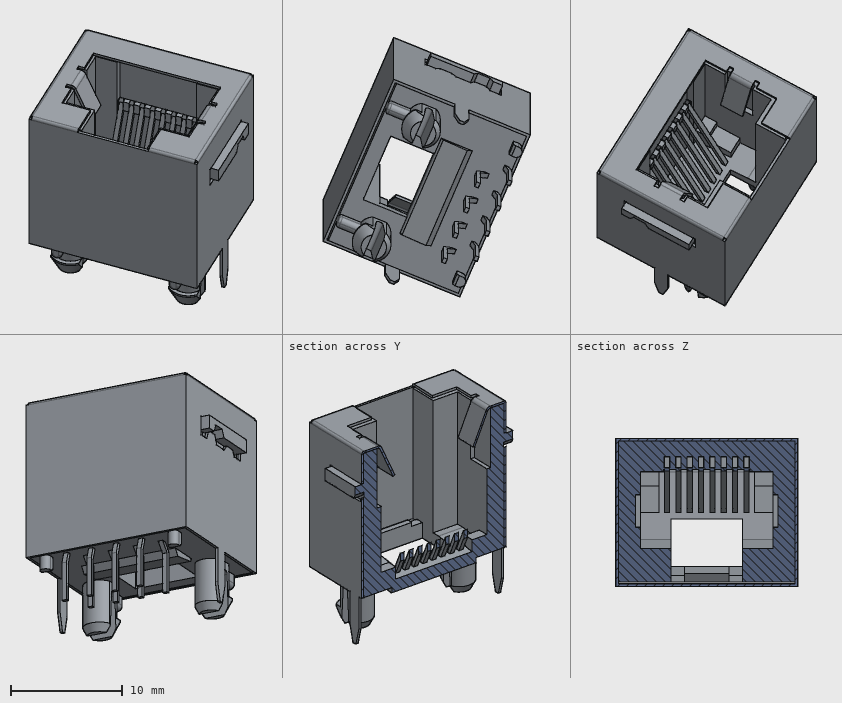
import cadquery as cq
import math


shield_width = 16.32
shield_depth = 13.3
shield_height = 14.9
sheet = 0.25
corner_notch = 0.24
opening_half_width = 6.17
opening_back = 3.72
opening_front = -3.66
latch_opening_half_width = 3.42

tab_half_width = 1.13
tab_bend_start = 6.33
tab_tip = 4.38
tab_angle = math.radians(65.4)
tab_bend_radius = 0.52
relief_half_width = 1.55
relief_end = 6.73

window_back = 3.82
window_front = -3.58
window_top = 11.6
window_bottom = 9.8
window_tooth_top = 10.67
front_tooth_base = (-2.55, -0.55)
front_tooth_tip = (-2.1, -1.0)

leg_half_width = 0.68
leg_shoulder = -3.22
leg_tip_half_width = 0.22
leg_tip = -5.0
leg_tip_round = 0.1

housing_width = shield_width - 2 * sheet
housing_height = shield_height - sheet
housing_back = shield_depth / 2 - sheet
housing_front = -6.25

cavity_half_width = 5.93
cavity_back = 3.65
cavity_front = -3.22
latch_half_width = 3.18
floor_height = 1.23
floor_slope_start = -2.43
floor_slope = math.radians(7.3)
hole_back = -0.6
hole_front = -4.84
rail_half_gap = 4.28
rail_step = 2.39
rail_heights = (1.99, 2.79)

catch_half_width = 1.99
catch_height = 1.99
catch_slope_start = -5.47
catch_slope = math.radians(36.5)
catch_side_step = -5.63
catch_side_heights = (1.6, 1.4)

pocket_half_width = 6.37
pocket_back = 1.57
pocket_front = -1.31
pocket_bottom = 8.65

contact_count = 8
contact_pitch = 1.019
contact_width = 0.45
contact_thickness = 0.35
contact_angle = math.radians(65.4)
contact_top_y = 4.02
comb_half_width = 3.86
comb_front = 3.85
comb_wall = 4.02
comb_back = 4.3
comb_slot_back = 4.98
comb_top = 9.99
comb_bottom = 8.95

tail_pitch = 1.27
tail_end = -4.64
front_row_y = 3.6
front_row_bend = -0.84
front_row_offset = 0.8
back_row_y = 6.15
back_row_bend = -1.07
back_row_offset = -0.34

wing_reach = 8.9
wing_back = 3.65
wing_front = -3.35
wing_bottom = 10.35
wing_notch_top = 11.06
notch_lower_y = (0.88, 2.75)
notch_upper_y = (1.23, 2.4)
side_recess_back = 3.1
side_recess_front = -2.79
side_recess_depth = 0.25

peg_x = 5.71
peg_y = -2.75
peg_radius = 1.53
peg_half_width = 1.37
barb_radius = 1.93
barb_top = -3.08
barb_edge = -3.26
peg_tip = -4.82
peg_tip_radius = 1.13
slot_half_width_top = 0.32
slot_half_width_tip = 0.55
slot_top = -0.78

standoff_height = 1.33
standoff_width = 1.01
standoff_round = 0.5
standoff_front_round = 0.24
back_standoff_x = 6.53
back_standoff_y = 5.97
back_standoff_front = 5.47
back_standoff_chamfer = 0.24

bar_half_length = 4.78
bar_back = 2.43
bar_keel = (1.93, -0.64)
bar_round_start = (-0.4, -0.34)
bar_round_middle = (-0.54, -0.2)


def box(x0, x1, y0, y1, z0, z1):
    """Axis-aligned block between two corners."""
    return cq.Workplane("XY").box(x1 - x0, y1 - y0, z1 - z0, centered=False).translate((x0, y0, z0))


def extrude_yz(points, x0, x1):
    """Prism along X with an outline given as (y, z) points."""
    return cq.Workplane("YZ").polyline(points).close().extrude(x1 - x0).translate((x0, 0, 0))


def mirrored(solid):
    """The solid together with its mirror image across the YZ plane."""
    return solid.union(solid.mirror("YZ"))



def shield_shell():
    """Five-sided sheet cover, rounded along its upper edges, notched at the upper corners and open below."""
    outer = cq.Workplane("XY").box(shield_width, shield_depth, shield_height, centered=(True, True, False))
    outer = outer.faces(">Z").edges().fillet(sheet)
    inner = cq.Workplane("XY").box(
        housing_width, shield_depth - 2 * sheet, housing_height, centered=(True, True, False)
    )
    notches = (
        cq.Workplane("XY", origin=(0, 0, shield_height))
        .rect(shield_width - corner_notch, shield_depth - corner_notch, forConstruction=True)
        .vertices()
        .rect(corner_notch, corner_notch)
        .extrude(-corner_notch)
    )
    return outer.cut(inner).cut(notches)


def shield_opening():
    """T-shaped plug opening, widened at the spring tabs; its stem also trims the front plate."""
    top = shield_height
    plug = box(-opening_half_width, opening_half_width, opening_front, opening_back, housing_height, top)
    latch = box(
        -latch_opening_half_width, latch_opening_half_width,
        -shield_depth / 2, opening_front, housing_height, top,
    )
    tab_window = box(
        -relief_end, relief_end, -relief_half_width, relief_half_width, housing_height, top
    )
    return plug.union(latch).union(tab_window)


def spring_tab():
    """Tab on the +X side: a bend at the rim of the opening, then a straight leaf."""
    inner_radius = tab_bend_radius - sheet
    center_z = shield_height - tab_bend_radius

    def on_bend(radius, angle):
        return (tab_bend_start - radius * math.sin(angle), center_z + radius * math.cos(angle))

    outer_end = on_bend(tab_bend_radius, tab_angle)
    inner_end = on_bend(inner_radius, tab_angle)
    leaf_run = outer_end[0] - tab_tip
    leaf_drop = leaf_run * math.tan(tab_angle)
    return (
        cq.Workplane("XZ")
        .moveTo(relief_end, shield_height)
        .lineTo(tab_bend_start, shield_height)
        .threePointArc(on_bend(tab_bend_radius, tab_angle / 2), outer_end)
        .lineTo(outer_end[0] - leaf_run, outer_end[1] - leaf_drop)
        .lineTo(inner_end[0] - leaf_run, inner_end[1] - leaf_drop)
        .lineTo(*inner_end)
        .threePointArc(on_bend(inner_radius, tab_angle / 2), (tab_bend_start, housing_height))
        .lineTo(relief_end, housing_height)
        .close()
        .extrude(tab_half_width, both=True)
    )


def side_windows():
    """Windows through both side plates, with two teeth rising from the lower edge."""
    outline = [
        (window_back, window_top),
        (window_back, window_bottom),
        (notch_lower_y[1], window_bottom),
        (notch_upper_y[1], window_tooth_top),
        (notch_upper_y[0], window_tooth_top),
        (notch_lower_y[0], window_bottom),
        (front_tooth_base[1], window_bottom),
        (front_tooth_tip[1], wing_bottom),
        (front_tooth_tip[0], wing_bottom),
        (front_tooth_base[0], window_bottom),
        (window_front, window_bottom),
        (window_front, window_top),
    ]
    return mirrored(extrude_yz(outline, housing_width / 2, shield_width / 2))


def solder_legs():
    """Pointed legs continuing both side plates downward."""
    outline = [
        (-leg_half_width, sheet),
        (-leg_half_width, leg_shoulder),
        (-leg_tip_half_width, leg_tip),
        (leg_tip_half_width, leg_tip),
        (leg_half_width, leg_shoulder),
        (leg_half_width, sheet),
    ]
    leg = extrude_yz(outline, housing_width / 2, shield_width / 2)
    return mirrored(leg.edges("|X and <Z").fillet(leg_tip_round))


def build_shield():
    shield = shield_shell().cut(shield_opening()).cut(side_windows())
    return shield.union(mirrored(spring_tab())).union(solder_legs())



def floor_at(y):
    """Height of the sloping cavity floor."""
    return floor_height - (y - floor_slope_start) * math.tan(floor_slope)


def plug_cavity():
    """Plug space, latch channel and the hole through the floor."""
    plug_profile = [
        (cavity_back, housing_height),
        (cavity_back, floor_at(cavity_back)),
        (floor_slope_start, floor_height),
        (cavity_front, floor_height),
        (cavity_front, housing_height),
    ]
    plug = extrude_yz(plug_profile, -cavity_half_width, cavity_half_width)
    channel = box(
        -latch_half_width, latch_half_width,
        housing_front, cavity_front, catch_side_heights[1], housing_height,
    )
    hole = box(-latch_half_width, latch_half_width, hole_front, hole_back, 0, housing_height)
    pocket = box(
        -pocket_half_width, pocket_half_width, pocket_front, pocket_back, pocket_bottom, housing_height
    )
    return plug.union(channel).union(hole).union(pocket)


def contact_xs():
    return [(i - (contact_count - 1) / 2) * contact_pitch for i in range(contact_count)]


def comb_recess():
    """Recess behind the contacts, with a projecting shelf slotted for each contact."""
    half = comb_half_width
    upper = box(-half, half, cavity_back, comb_back, comb_top, housing_height)
    shelf = box(-half, half, cavity_back, comb_front, comb_bottom, comb_top)
    lower = box(-half, half, cavity_back, comb_wall, floor_at(cavity_back), comb_bottom)
    recess = upper.union(shelf).union(lower)
    for x in contact_xs():
        slot = box(
            x - contact_width / 2, x + contact_width / 2, comb_front, comb_slot_back, comb_bottom, comb_top
        )
        recess = recess.union(slot)
    return recess


def guide_rails():
    """Stepped blocks in the back corners of the cavity floor."""
    low, high = rail_heights
    profile = [(0, 0), (cavity_back, 0), (cavity_back, high), (rail_step, high), (rail_step, low), (0, low)]
    return mirrored(extrude_yz(profile, rail_half_gap, cavity_half_width))


def latch_catch():
    """Ramped catch between two stepped shoulders, in front of the floor hole."""
    ramp_end = catch_height - (catch_slope_start - housing_front) * math.tan(catch_slope)
    ramp = [
        (hole_front, 0),
        (hole_front, catch_height),
        (catch_slope_start, catch_height),
        (housing_front, ramp_end),
        (housing_front, 0),
    ]
    shoulder = box(
        -latch_half_width, latch_half_width, catch_side_step, hole_front, 0, catch_side_heights[0]
    )
    return extrude_yz(ramp, -catch_half_width, catch_half_width).union(shoulder)


def contact_springs():
    """Straight leaves rising from the floor to the comb."""
    root_z = floor_at(0)
    top_z = root_z + contact_top_y * math.tan(contact_angle)
    drop = contact_thickness / math.cos(contact_angle)
    profile = [(0, root_z), (contact_top_y, top_z), (contact_top_y, top_z - drop), (0, root_z - drop)]
    springs = cq.Workplane("XY")
    for x in contact_xs():
        springs = springs.add(extrude_yz(profile, x - contact_width / 2, x + contact_width / 2))
    return springs.combine()


def solder_tail(x, row_y, bend_z, offset):
    """Straight tail with a slanted upper end that enters the housing."""
    half = contact_thickness / 2
    entry_z = contact_thickness
    entry_y = row_y + offset * (entry_z - bend_z) / -bend_z
    slant = math.atan2(entry_y - row_y, entry_z - bend_z)
    half_entry = half / math.cos(slant)
    miter = half * math.tan(slant / 2)
    profile = [
        (row_y - half, tail_end),
        (row_y - half, bend_z + miter),
        (entry_y - half_entry, entry_z),
        (entry_y + half_entry, entry_z),
        (row_y + half, bend_z - miter),
        (row_y + half, tail_end),
    ]
    return extrude_yz(profile, x - contact_width / 2, x + contact_width / 2)


def solder_tails():
    tails = cq.Workplane("XY")
    for i in range(contact_count):
        x = (i - (contact_count - 1) / 2) * tail_pitch
        if i % 2 == 0:
            tails = tails.add(solder_tail(x, front_row_y, front_row_bend, front_row_offset))
        else:
            tails = tails.add(solder_tail(x, back_row_y, back_row_bend, back_row_offset))
    return tails.combine()


def side_recesses():
    """Shallow recesses below both ends of each wing."""
    outer = housing_width / 2
    inner = outer - side_recess_depth
    back = box(inner, outer, side_recess_back, wing_back, window_bottom, wing_bottom)
    front = box(inner, outer, wing_front, side_recess_front, window_bottom, wing_bottom)
    return mirrored(back.union(front))


def side_wings():
    """Bars through the shield windows, notched underneath."""
    profile = [
        (wing_back, window_top),
        (wing_back, wing_bottom),
        (notch_lower_y[1], wing_bottom),
        (notch_upper_y[1], wing_notch_top),
        (notch_upper_y[0], wing_notch_top),
        (notch_lower_y[0], wing_bottom),
        (wing_front, wing_bottom),
        (wing_front, window_top),
    ]
    return mirrored(extrude_yz(profile, housing_width / 2 - side_recess_depth, wing_reach))


def snap_peg():
    """Round peg with flattened sides, a barb on its front half and a slot splitting it."""
    tip_taper = (barb_radius - peg_tip_radius) / (barb_edge - peg_tip)
    taper_start = peg_tip + (peg_radius - peg_tip_radius) / tip_taper
    shaft = (
        cq.Workplane("XZ")
        .polyline([(0, 0), (peg_radius, 0), (peg_radius, taper_start),
                   (peg_tip_radius, peg_tip), (0, peg_tip)])
        .close()
        .revolve(360, (0, 0), (0, 1))
    )
    barb = (
        cq.Workplane("XZ")
        .polyline([(0, barb_top), (barb_radius, barb_top), (barb_radius, barb_edge),
                   (peg_tip_radius, peg_tip), (0, peg_tip)])
        .close()
        .revolve(360, (0, 0), (0, 1))
    )
    front_half = box(-barb_radius, barb_radius, -barb_radius, 0, peg_tip, 0)
    peg = shaft.union(barb.intersect(front_half))
    peg = peg.intersect(
        box(-peg_half_width, peg_half_width, -barb_radius, barb_radius, peg_tip, 0)
    )
    arc_z = slot_top - slot_half_width_top
    slot = (
        cq.Workplane("YZ")
        .moveTo(-slot_half_width_tip, peg_tip)
        .lineTo(-slot_half_width_top, arc_z)
        .threePointArc((0, slot_top), (slot_half_width_top, arc_z))
        .lineTo(slot_half_width_tip, peg_tip)
        .close()
        .extrude(peg_half_width, both=True)
    )
    return peg.cut(slot).translate((peg_x, peg_y, 0))


def front_standoff():
    """Rib from the peg to the front of the housing, with a rounded lower side and front end."""
    rib_back = peg_y - peg_half_width
    rib = box(
        peg_x - standoff_width / 2, peg_x + standoff_width / 2, housing_front, rib_back, -standoff_height, 0
    )
    rib = rib.edges("|Y and <Z").fillet(standoff_round)
    return rib.faces("<Y").edges("not >Z").fillet(standoff_front_round)


def back_standoff():
    """Foot with a rounded back and a chamfered lower front edge."""
    half = standoff_width / 2
    foot = (
        cq.Workplane("XY")
        .moveTo(-half, back_standoff_front)
        .lineTo(-half, back_standoff_y)
        .threePointArc((0, back_standoff_y + half), (half, back_standoff_y))
        .lineTo(half, back_standoff_front)
        .close()
        .extrude(-standoff_height)
    )
    foot = foot.faces("<Y").edges("<Z").chamfer(back_standoff_chamfer)
    return foot.translate((back_standoff_x, 0, 0))


def stiffening_bar():
    """Low bar under the housing, with a bevelled back and a rounded front."""
    return (
        cq.Workplane("YZ")
        .moveTo(bar_back, 0)
        .lineTo(*bar_keel)
        .lineTo(*bar_round_start)
        .threePointArc(bar_round_middle, (hole_back, 0))
        .close()
        .extrude(bar_half_length, both=True)
    )


def build_housing():
    housing = box(-housing_width / 2, housing_width / 2, housing_front, housing_back, 0, housing_height)
    housing = housing.cut(plug_cavity()).cut(comb_recess()).cut(side_recesses())
    housing = housing.union(guide_rails()).union(latch_catch()).union(contact_springs())
    housing = housing.union(side_wings()).union(stiffening_bar())
    for foot in (snap_peg(), front_standoff(), back_standoff()):
        housing = housing.union(mirrored(foot))
    return housing.union(solder_tails())


shield = build_shield()
housing = build_housing()

result = cq.Compound.makeCompound([shield.val(), housing.val()])